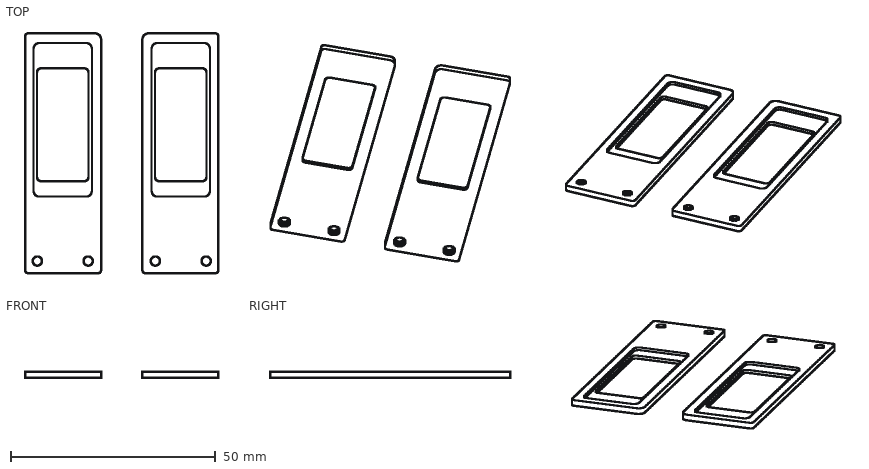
import cadquery as cq

plate_width = 18.6
plate_length = 58.6
plate_thickness = 1.5
plate_pitch = 28.6
corner_radius = 0.8
inner_corner_radius = 1.6

feature_shift = 0.1

pocket_width = 14.2
pocket_length = 37.5
pocket_top_margin = 2.4
pocket_depth = 0.7
pocket_corner_radius = 1.4

window_width = 12.5
window_length = 27.5
window_top_margin = 8.6
window_corner_radius = 1.0

hole_diameter = 2.2
hole_spacing = 12.4
hole_bottom_margin = 3.0
counterbore_diameter = 2.8
counterbore_depth = 0.8

plate_top = plate_length / 2
feature_x = -feature_shift


def rounded_block(width, length, top_margin, radius, base_z, height):
    """Upright-edged rounded block, placed by its distance from the plate's +Y edge."""
    center_y = plate_top - top_margin - length / 2
    return (
        cq.Workplane("XY", origin=(feature_x, center_y, base_z))
        .rect(width, length)
        .extrude(height)
        .edges("|Z")
        .fillet(radius)
    )


def hole_pair(diameter, height):
    """Two upright cylinders at the screw positions, rising from the lower face."""
    hole_y = hole_bottom_margin - plate_length / 2
    return (
        cq.Workplane("XY", origin=(feature_x, hole_y, 0))
        .pushPoints([(-hole_spacing / 2, 0), (hole_spacing / 2, 0)])
        .circle(diameter / 2)
        .extrude(height)
    )


def make_blank():
    """Rounded plate whose +X+Y corner has the larger radius."""
    blank = cq.Workplane("XY").rect(plate_width, plate_length).extrude(plate_thickness)
    blank = blank.edges("|Z and (<X or <Y)").fillet(corner_radius)
    return blank.edges("|Z").edges(">(1, 1, 0)").fillet(inner_corner_radius)


def make_frame_plate():
    """The -X plate, centred on the origin with its lower face at Z = 0."""
    pocket = rounded_block(
        pocket_width, pocket_length, pocket_top_margin, pocket_corner_radius,
        plate_thickness - pocket_depth, pocket_depth,
    )
    window = rounded_block(
        window_width, window_length, window_top_margin, window_corner_radius,
        0, plate_thickness,
    )
    holes = hole_pair(hole_diameter, plate_thickness)
    counterbores = hole_pair(counterbore_diameter, counterbore_depth)
    return make_blank().cut(pocket).cut(window).cut(holes).cut(counterbores)


left_plate = make_frame_plate().translate((-plate_pitch / 2, 0, 0))
frame_plates = [left_plate, left_plate.mirror("YZ")]

result = cq.Compound.makeCompound([plate.val() for plate in frame_plates])